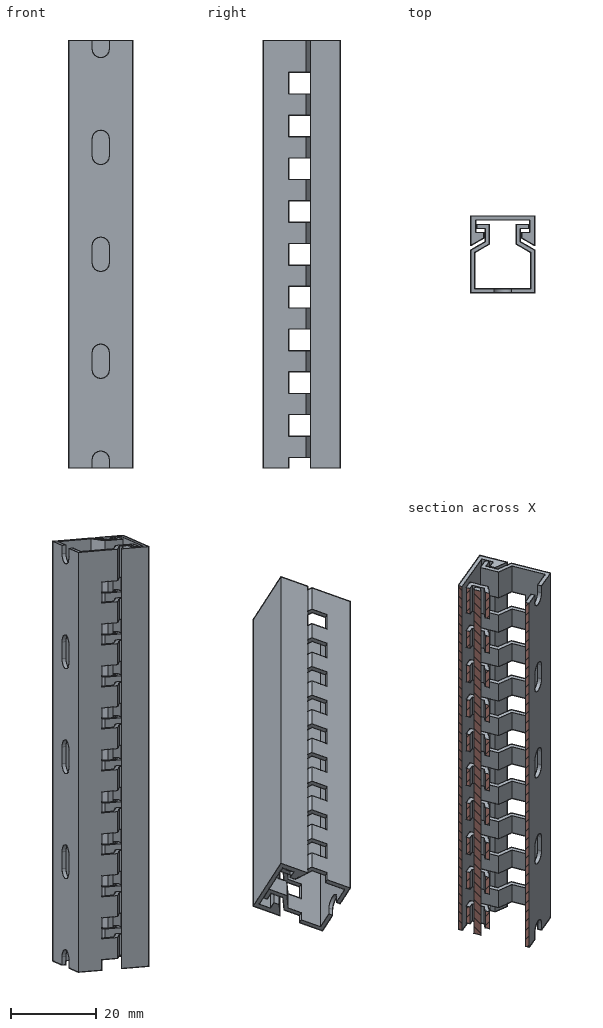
import cadquery as cq
import math

length = 100.0
width = 15.0
depth = 18.0
half_width = width / 2

base_wall = 1.0
shoulder_y = 10.0
shoulder_angle = 30.0
lip_outer_x = 4.1
lip_top_y = 16.0
lip_hook_end_x = 6.1

cover_top_wall = 1.0
cover_side_wall = 1.2
cover_gap = 1.0
hook_tip_x = 4.4
hook_top_y = 14.1

fixing_slot_width = 4.0
fixing_slot_length = 8.0
fixing_slot_pitch = 25.0
fixing_slot_count = 5

notch_height = 5.0
notch_pitch = 10.0
notch_count = 10
notch_bottom_y = 6.0

slope = math.tan(math.radians(shoulder_angle))


def symmetric_extrusion(half_outline):
    """Mirror an outline that starts and ends on X = 0, and extrude it to full length."""
    mirrored = [(-x, y) for x, y in reversed(half_outline[1:-1])]
    return cq.Workplane("XY").polyline(half_outline + mirrored).close().extrude(length)


def base_channel():
    inner_x = half_width - base_wall
    lip_inner_x = lip_outer_x - base_wall
    shoulder_rise = (half_width - lip_outer_x) * slope
    corner_drop = base_wall * math.tan(math.radians((90 - shoulder_angle) / 2))
    outline = [
        (0, 0),
        (half_width, 0),
        (half_width, shoulder_y),
        (lip_outer_x, shoulder_y + shoulder_rise),
        (lip_outer_x, lip_top_y - base_wall),
        (lip_hook_end_x, lip_top_y - base_wall),
        (lip_hook_end_x, lip_top_y),
        (lip_inner_x, lip_top_y),
        (lip_inner_x, shoulder_y + shoulder_rise - corner_drop),
        (inner_x, shoulder_y - corner_drop),
        (inner_x, base_wall),
        (0, base_wall),
    ]
    return symmetric_extrusion(outline).cut(fixing_slots()).cut(cable_notches())


def fixing_slots():
    """Cutters for the rounded slots through the back wall."""
    centers = [(0, i * fixing_slot_pitch) for i in range(fixing_slot_count)]
    return (
        cq.Workplane("XZ")
        .pushPoints(centers)
        .slot2D(fixing_slot_length, fixing_slot_width, 90)
        .extrude(-base_wall)
    )


def cable_notches():
    """Cutters that remove the upper side walls and lips at a regular pitch."""
    notch_depth = depth - notch_bottom_y
    centers = [(0, notch_bottom_y, i * notch_pitch) for i in range(notch_count)]
    return (
        cq.Workplane("XY")
        .pushPoints(centers)
        .box(width, notch_depth, notch_height, centered=(True, False, True))
    )


def snap_cover():
    inner_x = half_width - cover_side_wall
    edge_y = shoulder_y + cover_gap
    hook_rise = (half_width - hook_tip_x) * slope
    outline = [
        (0, depth),
        (half_width, depth),
        (half_width, edge_y),
        (hook_tip_x, edge_y + hook_rise),
        (hook_tip_x, hook_top_y),
        (inner_x, hook_top_y),
        (inner_x, depth - cover_top_wall),
        (0, depth - cover_top_wall),
    ]
    return symmetric_extrusion(outline)


base = base_channel()
cover = snap_cover()

result = cq.Compound.makeCompound([base.val(), cover.val()])